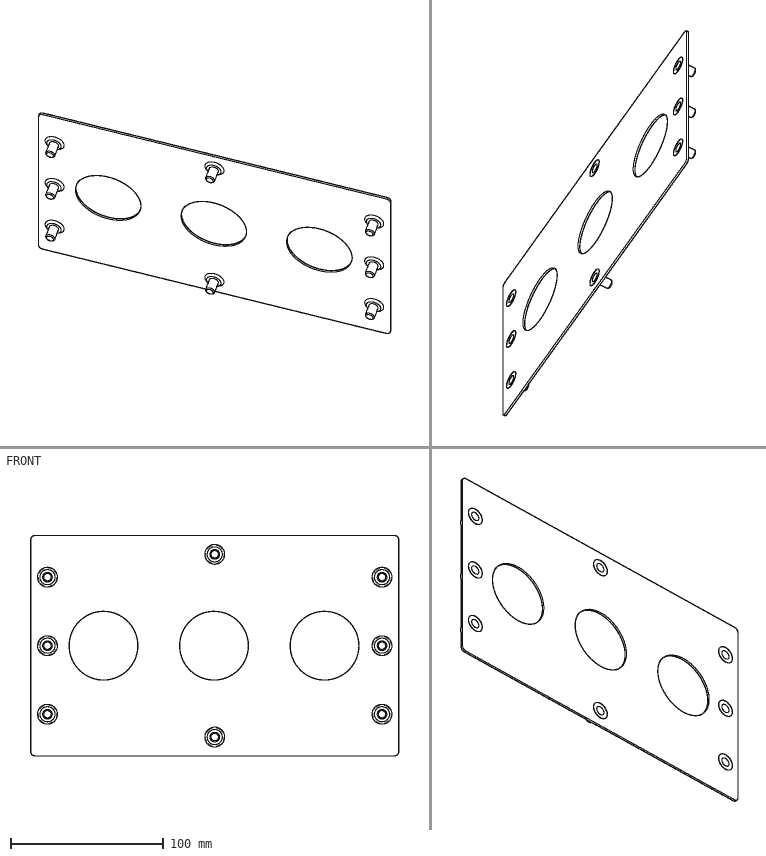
import cadquery as cq

plate_length = 242.0
plate_height = 145.0
plate_thickness = 1.5
corner_radius = 3.1

window_diameter = 45.0
window_pitch = 72.5
window_row_x = -0.5
window_count = 3

stud_length = 12.0
head_thickness = 0.2
head_diameter = 12.0
stud_reach = stud_length - head_thickness
shank_diameter = 6.3
tip_chamfer = 0.7
flange_base_diameter = 13.0
flange_face_diameter = 10.0
flange_height = 1.5

side_stud_x = 109.9
side_stud_z = 45.0
edge_stud_z = 60.0
stud_places = [(x, z) for x in (-side_stud_x, side_stud_x) for z in (-side_stud_z, 0, side_stud_z)]
stud_places += [(0, -edge_stud_z), (0, edge_stud_z)]


def make_plate():
    """Rounded rectangular sheet with the windows and a close-fitting hole for each stud."""
    blank = (
        cq.Workplane("XZ")
        .rect(plate_length, plate_height)
        .extrude(plate_thickness)
        .edges("|Y")
        .fillet(corner_radius)
    )
    windows = (
        cq.Workplane("XZ")
        .center(window_row_x, 0)
        .rarray(window_pitch, 2.5, window_count, 1)
        .circle(window_diameter / 2)
        .extrude(plate_thickness)
    )
    stud_holes = (
        cq.Workplane("XZ")
        .pushPoints(stud_places)
        .circle(shank_diameter / 2)
        .extrude(plate_thickness)
    )
    return blank.cut(windows).cut(stud_holes)


def make_stud(x, z):
    """Turned stud: thin back head, conical flange on the plate front, and shank with a chamfered tip."""
    shank_radius = shank_diameter / 2
    flange_face_y = -plate_thickness - flange_height
    half_profile = (
        cq.Workplane("XY")
        .moveTo(0, head_thickness)
        .lineTo(-head_diameter / 2, head_thickness)
        .lineTo(-head_diameter / 2, 0)
        .lineTo(-shank_radius, 0)
        .lineTo(-shank_radius, -plate_thickness)
        .lineTo(-flange_base_diameter / 2, -plate_thickness)
        .lineTo(-flange_face_diameter / 2, flange_face_y)
        .lineTo(-shank_radius, flange_face_y)
        .lineTo(-shank_radius, -stud_reach + tip_chamfer)
        .lineTo(-shank_radius + tip_chamfer, -stud_reach)
        .lineTo(0, -stud_reach)
        .close()
    )
    stud = half_profile.revolve(360, (0, 0, 0), (0, 1, 0))
    return stud.translate((x, 0, z))


plate = make_plate()
studs = [make_stud(x, z) for x, z in stud_places]

result = cq.Compound.makeCompound([plate.val(), *[stud.val() for stud in studs]])